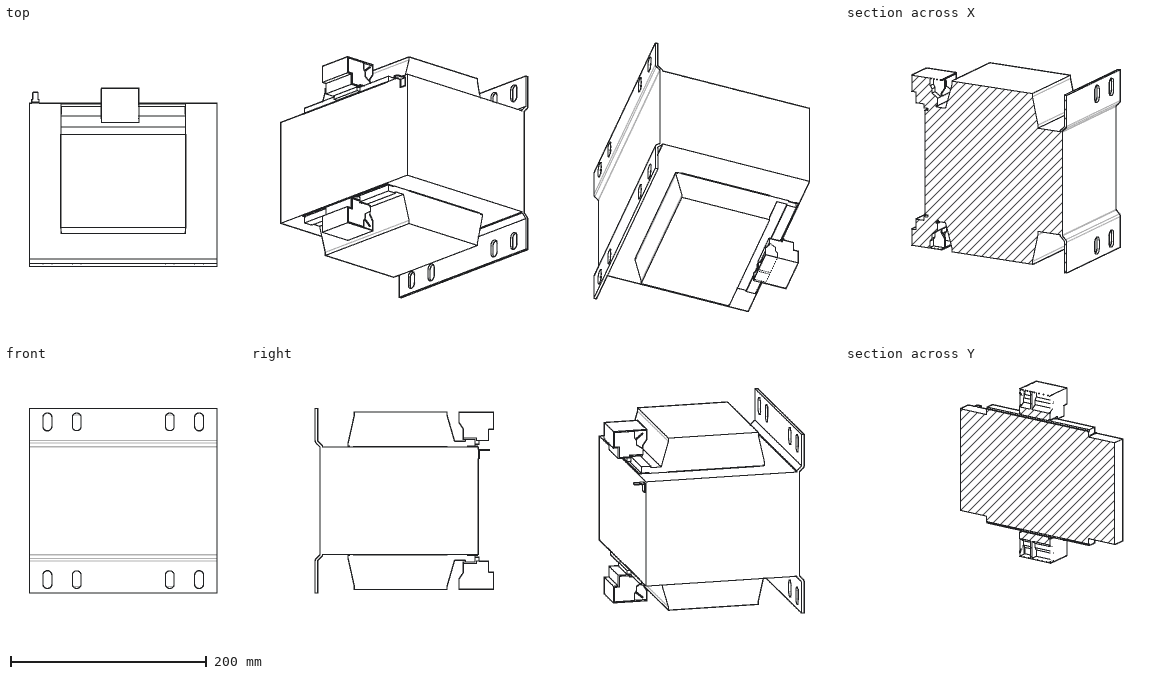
import cadquery as cq
import math


WIDTH = 192.0
HEIGHT = 189.0
DEPTH = 182.5
OVERLAP = 1.0

PLATE_THICKNESS = 2.9
FLANGE_OFFSET = 5.0
WEB_HALF_HEIGHT = 55.1
OUTER_BEND_RADIUS = 3.6
INNER_BEND_RADIUS = 0.8
BEND_ANGLE = 45.0

SLOT_WIDTH = 9.0
SLOT_LENGTH = 18.0
SLOT_XS = (47.6, 77.5)
SLOT_Z = 80.6

CORE_FRONT = FLANGE_OFFSET + PLATE_THICKNESS
CORE_BACK = 167.2
CORE_HALF_HEIGHT = 55.1

COIL_WIDTH = 127.1
COIL_TOP = 91.0
COIL_SHOULDER = 87.5
COIL_FOOT = 58.4
COIL_FOOT_FRONT = 33.6
COIL_TOP_FRONT = 40.1
COIL_TOP_BACK = 135.2
COIL_FOOT_BACK = 142.8

FLANGE_TOP = 61.0
RAIL_TOP = 62.5
RAIL_FRONT = 153.8
RAIL_BACK = 163.8
LIP_BACK = 166.3
LIP_THICKNESS = 0.8
UNDERCUT_INSET = 0.5
UNDERCUT_FRONT_END = 35.3
UNDERCUT_BACK_START = 156.0

LINER_WIDTH = 128.6
LINER_FRONT = 39.2
LINER_THICKNESS = 0.4

BLOCK_LEFT = -22.7
BLOCK_RIGHT = 16.0
BLOCK_DIVIDER = -8.0
BLOCK_TOP = 90.6
BLOCK_FRONT = 147.3
BLOCK_CHIN = 79.9
BLOCK_WAIST_Y = 151.5
BLOCK_WAIST_Z = 73.5
BLOCK_STEP_Y = 177.6
BLOCK_STEP_Z = 73.0
BLOCK_BOTTOM = 61.6
BLOCK_SEAT = 64.3
BLOCK_SEAT_BACK = 165.3
CELL_WALL = 1.2
CELL_BACK = [(160.3, 82.5), (158.2, 79.5), (158.2, 74.9), (BLOCK_WAIST_Y, 70.5)]
PANEL_THICKNESS = 0.4
PANEL_INSET = 1.2
RIB_CENTER = (155.0, 84.0)
RIB_LENGTH = 8.5
RIB_WIDTH = 1.0
RIB_ANGLE = 40.0

CLIP_INSET = 2.0
CLIP_BACK = 168.0
CLIP_FOOT = 57.6

TAB_X = -89.9
TAB_BASE_WIDTH = 7.5
TAB_WIDTH = 5.8
TAB_SHOULDER = 171.0
TAB_TIP = 178.4
TAB_TIP_CHAMFER = 0.8
TAB_THICKNESS = 1.0
TAB_TOP = 52.6
TAB_LEG_BOTTOM = 43.2


def box(x_range, y_range, z_range):
    """Box between the given limits."""
    (x0, x1), (y0, y1), (z0, z1) = x_range, y_range, z_range
    return cq.Workplane("XY").box(x1 - x0, y1 - y0, z1 - z0, centered=False).translate((x0, y0, z0))


def side_profile(points, x0, x1):
    """Outline of (Y, Z) points, extruded from x0 to x1."""
    return cq.Workplane("YZ").polyline(points).close().extrude(x1 - x0).translate((x0, 0, 0))


def centered(width):
    """Limits of a width centred on X = 0."""
    return (-width / 2, width / 2)


def mounting_plate():
    half_height = HEIGHT / 2
    outer_bend = WEB_HALF_HEIGHT + FLANGE_OFFSET / math.tan(math.radians(BEND_ANGLE))
    back_rise = PLATE_THICKNESS * math.tan(math.radians(BEND_ANGLE / 2))
    upper = [
        (FLANGE_OFFSET, WEB_HALF_HEIGHT),
        (0, outer_bend),
        (0, half_height),
        (PLATE_THICKNESS, half_height),
        (PLATE_THICKNESS, outer_bend + back_rise),
        (CORE_FRONT, WEB_HALF_HEIGHT + back_rise),
    ]
    lower = [(y, -z) for y, z in reversed(upper)]
    plate = side_profile(upper + lower, *centered(WIDTH))
    for side in (1, -1):
        plate = plate.edges(cq.NearestToPointSelector((0, 0, side * outer_bend))).fillet(OUTER_BEND_RADIUS)
        web_edge = cq.NearestToPointSelector((0, FLANGE_OFFSET, side * WEB_HALF_HEIGHT))
        plate = plate.edges(web_edge).fillet(INNER_BEND_RADIUS)
    slot_centers = [(sx * x, sz * SLOT_Z) for x in SLOT_XS for sx in (1, -1) for sz in (1, -1)]
    slots = (
        cq.Workplane("XZ")
        .pushPoints(slot_centers)
        .slot2D(SLOT_LENGTH, SLOT_WIDTH, angle=90)
        .extrude(PLATE_THICKNESS, both=True)
    )
    return plate.cut(slots)


def core():
    return box(centered(WIDTH), (CORE_FRONT, CORE_BACK), (-CORE_HALF_HEIGHT, CORE_HALF_HEIGHT))


def upper_coil():
    base = CORE_HALF_HEIGHT - OVERLAP
    lip_top = CORE_HALF_HEIGHT + LIP_THICKNESS
    outline = [
        (COIL_FOOT_FRONT, base),
        (COIL_FOOT_FRONT, COIL_FOOT),
        (COIL_TOP_FRONT, COIL_SHOULDER),
        (COIL_TOP_FRONT, COIL_TOP),
        (COIL_TOP_BACK, COIL_TOP),
        (COIL_TOP_BACK, COIL_SHOULDER),
        (COIL_FOOT_BACK, FLANGE_TOP),
        (RAIL_FRONT, FLANGE_TOP),
        (RAIL_FRONT, RAIL_TOP),
        (RAIL_BACK, RAIL_TOP),
        (RAIL_BACK, lip_top),
        (LIP_BACK, lip_top),
        (LIP_BACK, base),
    ]
    coil = side_profile(outline, *centered(COIL_WIDTH))
    half = COIL_WIDTH / 2
    undercuts = ((COIL_FOOT_FRONT, UNDERCUT_FRONT_END), (UNDERCUT_BACK_START, RAIL_BACK))
    for y_range in undercuts:
        for x_range in ((-half, UNDERCUT_INSET - half), (half - UNDERCUT_INSET, half)):
            coil = coil.cut(box(x_range, y_range, (base, lip_top)))
    liner_top = CORE_HALF_HEIGHT + LINER_THICKNESS
    return coil.union(box(centered(LINER_WIDTH), (LINER_FRONT, COIL_TOP_BACK), (base, liner_top)))


def upper_terminal_block():
    body_left = BLOCK_LEFT + PANEL_THICKNESS
    body = side_profile(
        [
            (DEPTH, BLOCK_TOP),
            (BLOCK_FRONT, BLOCK_TOP),
            (BLOCK_FRONT, BLOCK_CHIN),
            (BLOCK_WAIST_Y, BLOCK_WAIST_Z),
            (BLOCK_WAIST_Y, BLOCK_SEAT),
            (BLOCK_SEAT_BACK, BLOCK_SEAT),
            (BLOCK_SEAT_BACK, BLOCK_BOTTOM),
            (BLOCK_STEP_Y, BLOCK_BOTTOM),
            (BLOCK_STEP_Y, BLOCK_STEP_Z),
            (DEPTH, BLOCK_STEP_Z),
        ],
        body_left,
        BLOCK_RIGHT,
    )
    cell_top = BLOCK_TOP - CELL_WALL
    cell_mouth = BLOCK_FRONT - OVERLAP
    cell_floor_end = (cell_mouth, CELL_BACK[-1][1])
    cell_outline = [(cell_mouth, cell_top), (CELL_BACK[0][0], cell_top)] + CELL_BACK + [cell_floor_end]
    for left, right in ((body_left, BLOCK_DIVIDER), (BLOCK_DIVIDER, BLOCK_RIGHT)):
        body = body.cut(side_profile(cell_outline, left + CELL_WALL, right - CELL_WALL))

    panel_outline = [
        (DEPTH - PANEL_INSET, BLOCK_TOP - PANEL_INSET),
        (CELL_BACK[0][0], BLOCK_TOP - PANEL_INSET),
        *CELL_BACK,
        (BLOCK_WAIST_Y, BLOCK_SEAT),
        (BLOCK_SEAT_BACK, BLOCK_SEAT),
        (BLOCK_SEAT_BACK, BLOCK_BOTTOM + PANEL_INSET),
        (BLOCK_STEP_Y - PANEL_INSET, BLOCK_BOTTOM + PANEL_INSET),
        (BLOCK_STEP_Y - PANEL_INSET, BLOCK_STEP_Z + PANEL_INSET),
        (DEPTH - PANEL_INSET, BLOCK_STEP_Z + PANEL_INSET),
    ]
    panel = side_profile(panel_outline, BLOCK_LEFT, body_left)
    rib = (
        cq.Workplane("YZ", origin=(BLOCK_LEFT, 0, 0))
        .center(*RIB_CENTER)
        .transformed(rotate=(0, 0, -RIB_ANGLE))
        .rect(RIB_LENGTH, RIB_WIDTH)
        .extrude(PANEL_THICKNESS)
    )
    clip_outline = [
        (BLOCK_WAIST_Y, RAIL_TOP),
        (BLOCK_WAIST_Y, BLOCK_SEAT),
        (CLIP_BACK, BLOCK_SEAT),
        (CLIP_BACK, CLIP_FOOT),
        (RAIL_BACK, CLIP_FOOT),
        (RAIL_BACK, RAIL_TOP),
    ]
    clip = side_profile(clip_outline, BLOCK_LEFT + CLIP_INSET, BLOCK_RIGHT - CLIP_INSET)
    return body.union(panel).union(rib).union(clip)


def earth_tab():
    base_half = TAB_BASE_WIDTH / 2
    half = TAB_WIDTH / 2
    tip_half = half - TAB_TIP_CHAMFER
    tip_start = TAB_TIP - TAB_TIP_CHAMFER
    root = CORE_BACK - OVERLAP
    right_side = [
        (base_half, root),
        (base_half, TAB_SHOULDER),
        (half, TAB_SHOULDER),
        (half, tip_start),
        (tip_half, TAB_TIP),
    ]
    left_side = [(-x, y) for x, y in reversed(right_side)]
    blade = (
        cq.Workplane("XY", origin=(TAB_X, 0, TAB_TOP - TAB_THICKNESS))
        .polyline(right_side + left_side)
        .close()
        .extrude(TAB_THICKNESS)
    )
    leg_sides = (TAB_X - base_half, TAB_X + base_half)
    leg = box(leg_sides, (root, CORE_BACK + TAB_THICKNESS), (TAB_LEG_BOTTOM, TAB_TOP))
    return blade.union(leg)


upper_parts = upper_coil().union(upper_terminal_block())
lower_parts = upper_parts.mirror("XY")

result = mounting_plate().union(core()).union(upper_parts).union(lower_parts).union(earth_tab())